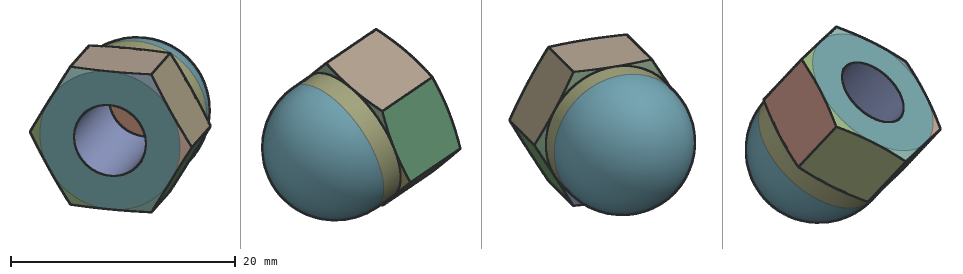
import cadquery as cq
import math

across_flats = 13.0
hex_height = 6.5
total_height = 15.0
bore_diameter = 6.65
bore_depth = 11.0
chamfer_angle = 15.0

dome_radius = across_flats / 2
dome_start = total_height - dome_radius
corner_radius = dome_radius / math.cos(math.radians(30))
chamfer_height = (corner_radius - dome_radius) * math.tan(math.radians(chamfer_angle))


def along_y(shape):
    """Turn a shape built along +Z so that it runs along +Y."""
    return shape.rotate((0, 0, 0), (1, 0, 0), -90)


def hexagon():
    """Hexagonal body with corners on the X axis, conically chamfered at both ends."""
    prism = cq.Workplane("XY").polygon(6, 2 * corner_radius).extrude(hex_height)
    chamfer_envelope = (
        cq.Workplane("XY")
        .circle(corner_radius)
        .extrude(hex_height)
        .faces("<Z or >Z")
        .chamfer(chamfer_height, corner_radius - dome_radius)
    )
    return along_y(prism.intersect(chamfer_envelope))


def dome_cap():
    """Cylindrical collar closed by a hemispherical dome."""
    profile = (
        cq.Workplane("XY")
        .moveTo(0, hex_height)
        .lineTo(dome_radius, hex_height)
        .lineTo(dome_radius, dome_start)
        .radiusArc((0, total_height), -dome_radius)
        .close()
    )
    return profile.revolve(360, (0, 0, 0), (0, 1, 0))


def bore():
    """Blind, flat-bottomed hole from the open face."""
    return along_y(cq.Workplane("XY").circle(bore_diameter / 2).extrude(bore_depth))


result = hexagon().union(dome_cap()).cut(bore())